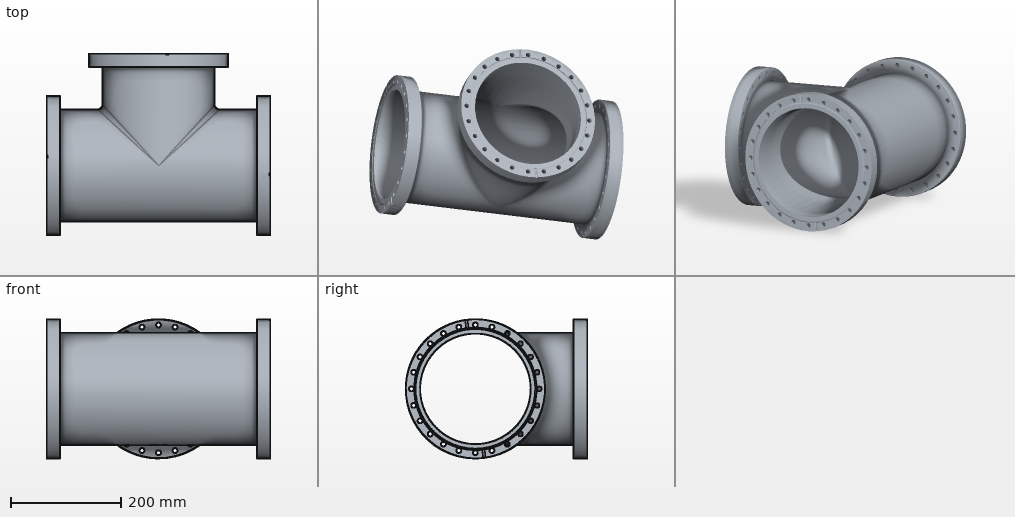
import cadquery as cq

run_length = 406.0
port_distance = run_length / 2

tube_outer_diameter = 204.0
tube_inner_diameter = 200.5
outer_fillet_radius = 8.0
inner_fillet_radius = 9.5

flange_diameter = 253.0
flange_thickness = 25.0
flange_bore_diameter = 200.0
flange_back_chamfer = 1.0
socket_diameter = 204.5
tube_setback = 9.5

bolt_count = 24
bolt_pitch = 360 / bolt_count
bolt_circle_diameter = 232.0
bolt_hole_diameter = 8.5

recess_diameter = 222.5
knife_tip_depth = 1.0
knife_diameter = 217.0
knife_height = 1.0

groove_diameter = 4.5
groove_angle = bolt_pitch / 2


def tee_solid(diameter, fillet_radius):
    """Two crossing cylinders with the seam between them rounded."""
    radius = diameter / 2
    reach = port_distance - tube_setback
    run = cq.Workplane("YZ").circle(radius).extrude(reach, both=True)
    branch = cq.Workplane("XZ").circle(radius).extrude(-reach)
    tee = run.union(branch)
    seam = tee.edges("%ELLIPSE").vals()
    return cq.Workplane(tee.val().fillet(fillet_radius, seam))


def make_tube():
    outside = tee_solid(tube_outer_diameter, outer_fillet_radius)
    inside = tee_solid(tube_inner_diameter, inner_fillet_radius)
    return outside.cut(inside).solids()


def flange_ring():
    """Turned ring about Z with its sealing face up at Z = 0."""
    bore_radius = flange_bore_diameter / 2
    socket_radius = socket_diameter / 2
    outer_radius = flange_diameter / 2
    recess_radius = recess_diameter / 2
    knife_radius = knife_diameter / 2
    profile = [
        (bore_radius, -knife_tip_depth),
        (bore_radius, -tube_setback),
        (socket_radius, -tube_setback),
        (socket_radius, -flange_thickness),
        (outer_radius - flange_back_chamfer, -flange_thickness),
        (outer_radius, -flange_thickness + flange_back_chamfer),
        (outer_radius, 0),
        (recess_radius, 0),
        (recess_radius, -knife_tip_depth - knife_height),
        (knife_radius, -knife_tip_depth),
    ]
    return cq.Workplane("XZ").polyline(profile).close().revolve(360, (0, 0, 0), (0, 1, 0))


def bolt_holes():
    return (
        cq.Workplane("XY")
        .polarArray(bolt_circle_diameter / 2, 0, 360, bolt_count)
        .circle(bolt_hole_diameter / 2)
        .extrude(-flange_thickness)
    )


def leak_grooves():
    """Two half-round grooves across the face, opposite each other, from the recess to the rim."""
    groove_start = recess_diameter / 2 - groove_diameter / 2
    groove_end = flange_diameter / 2 + groove_diameter
    rod = cq.Workplane("YZ", origin=(groove_start, 0, 0)).circle(groove_diameter / 2)
    groove = rod.extrude(groove_end - groove_start).rotate((0, 0, 0), (0, 0, 1), groove_angle)
    opposite_groove = groove.rotate((0, 0, 0), (0, 0, 1), 180)
    return groove.union(opposite_groove)


def make_flange():
    return flange_ring().cut(bolt_holes()).cut(leak_grooves()).solids()


def place_flange(flange, turn_about_z):
    """Face the flange along +X, then swing it round to its port."""
    facing_x = flange.rotate((0, 0, 0), (0, 1, 0), 90).translate((port_distance, 0, 0))
    return facing_x.rotate((0, 0, 0), (0, 0, 1), turn_about_z)


tube = make_tube()
flange = make_flange()
port_turns = [0, 90, 180]
flanges = [place_flange(flange, turn) for turn in port_turns]

result = cq.Compound.makeCompound([tube.val()] + [placed.val() for placed in flanges])